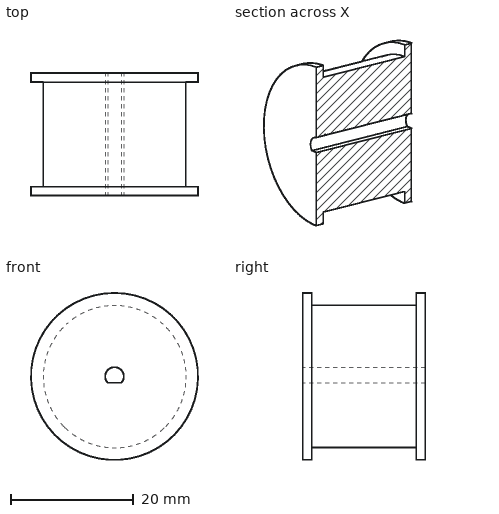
import cadquery as cq

spool_length = 20.0
flange_diameter = 27.25
flange_thickness = 1.5
flange_height = 2.0
drum_diameter = flange_diameter - 2 * flange_height
bore_diameter = 3.0
bore_flat_offset = 1.0


def make_spool_body():
    """Revolve the half-section of drum and flanges about the Y axis."""
    half_length = spool_length / 2
    inner_face = half_length - flange_thickness
    flange_radius = flange_diameter / 2
    drum_radius = drum_diameter / 2
    return (
        cq.Workplane("YZ")
        .moveTo(-half_length, 0)
        .lineTo(-half_length, flange_radius)
        .lineTo(-inner_face, flange_radius)
        .lineTo(-inner_face, drum_radius)
        .lineTo(inner_face, drum_radius)
        .lineTo(inner_face, flange_radius)
        .lineTo(half_length, flange_radius)
        .lineTo(half_length, 0)
        .close()
        .revolve(360, (0, 0, 0), (1, 0, 0))
    )


def make_shaft_bore():
    """D-shaped cutter along the full spool length, flat on the -Z side."""
    bore_radius = bore_diameter / 2
    flat_half_width = (bore_radius**2 - bore_flat_offset**2) ** 0.5
    return (
        cq.Workplane("XZ")
        .moveTo(-flat_half_width, -bore_flat_offset)
        .threePointArc((0, bore_radius), (flat_half_width, -bore_flat_offset))
        .close()
        .extrude(spool_length / 2, both=True)
    )


result = make_spool_body().cut(make_shaft_bore())